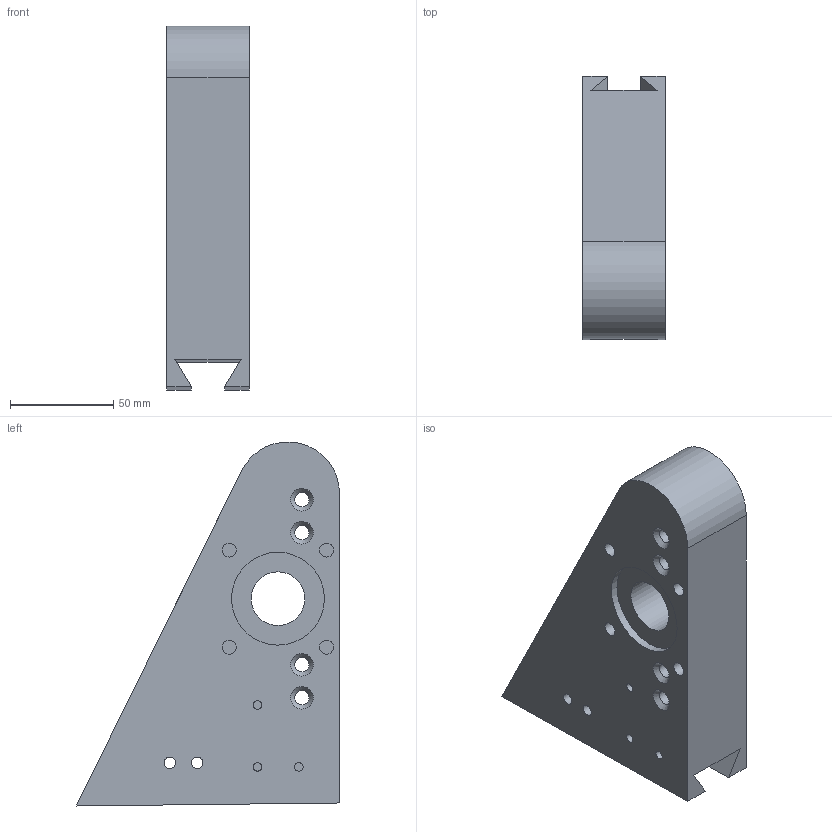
import cadquery as cq
import math

thickness = 40.0
depth = 127.5
front_height = 175.0
base_drop = 1.47
crown_radius = 25.0

dovetail_mouth = 16.0
dovetail_roof_width = 32.0
dovetail_height = 13.3

motor_y = 29.85
motor_z = 99.0
bore_diameter = 26.0
recess_diameter = 45.0
recess_depth = 3.8
motor_hole_diameter = 6.8
motor_hole_spacing = 47.14
motor_hole_depth = 20.0

bolt_y = 18.25
bolt_diameter = 7.0
countersink_diameter = 11.0
countersink_depth = 2.3
bolt_pair_spacing = 80.0
bolt_pitch = 16.0

tapped_diameter = 4.2
tapped_depth = 15.0
tapped_y = 19.75
tapped_z = 17.5
tapped_leg_y = 20.0
tapped_leg_z = 30.0

rear_hole_diameter = 5.5
rear_hole_y = 69.0
rear_hole_z = 19.5
rear_hole_pitch = 13.3


def make_body():
    """Triangular plate whose sloped back runs tangent into the round crown."""
    crown_y = crown_radius
    crown_z = front_height - crown_radius
    run = depth - crown_y
    rise = crown_z + base_drop
    tangent = math.atan2(run, rise) - math.asin(crown_radius / math.hypot(run, rise))
    back_top = (
        crown_y + crown_radius * math.cos(tangent),
        crown_z + crown_radius * math.sin(tangent),
    )
    return (
        cq.Workplane("YZ")
        .moveTo(0, 0)
        .lineTo(depth, -base_drop)
        .lineTo(*back_top)
        .threePointArc((crown_y, front_height), (0, crown_z))
        .close()
        .extrude(thickness)
    )


def make_dovetail():
    """Dovetail cutter swept along the sloping base from front to rear."""
    middle = thickness / 2
    half_mouth = dovetail_mouth / 2
    half_roof = dovetail_roof_width / 2
    path = cq.Workplane("YZ").lineTo(depth, -base_drop)
    return (
        cq.Workplane("XZ")
        .polyline([
            (middle - half_mouth, 0),
            (middle + half_mouth, 0),
            (middle + half_roof, dovetail_height),
            (middle - half_roof, dovetail_height),
        ])
        .close()
        .sweep(path)
    )


def hole(y, z, diameter, hole_depth=thickness):
    """Cylinder cutter running along +X from the X = 0 side face."""
    return cq.Workplane("YZ").center(y, z).circle(diameter / 2).extrude(hole_depth)


def countersunk_hole(y, z):
    """Through bolt hole with a conical mouth on the X = 0 side face."""
    cone = cq.Solid.makeCone(
        countersink_diameter / 2,
        bolt_diameter / 2,
        countersink_depth,
        pnt=cq.Vector(0, y, z),
        dir=cq.Vector(1, 0, 0),
    )
    return hole(y, z, bolt_diameter).union(cq.Workplane(cone))


def cut_motor_seat(part):
    part = part.cut(hole(motor_y, motor_z, bore_diameter))
    part = part.cut(hole(motor_y, motor_z, recess_diameter, recess_depth))
    for side_y in (-1, 1):
        for side_z in (-1, 1):
            y = motor_y + side_y * motor_hole_spacing / 2
            z = motor_z + side_z * motor_hole_spacing / 2
            part = part.cut(hole(y, z, motor_hole_diameter, motor_hole_depth))
    return part


def cut_bolt_holes(part):
    for pair in (-1, 1):
        for member in (-1, 1):
            z = motor_z + pair * bolt_pair_spacing / 2 + member * bolt_pitch / 2
            part = part.cut(countersunk_hole(bolt_y, z))
    return part


def cut_tapped_holes(part):
    for step_y, step_z in ((0, 0), (1, 0), (1, 1)):
        y = tapped_y + step_y * tapped_leg_y
        z = tapped_z + step_z * tapped_leg_z
        part = part.cut(hole(y, z, tapped_diameter, tapped_depth))
    return part


def cut_rear_holes(part):
    for step in range(2):
        part = part.cut(hole(rear_hole_y + step * rear_hole_pitch, rear_hole_z, rear_hole_diameter))
    return part


result = make_body().cut(make_dovetail())
result = cut_motor_seat(result)
result = cut_bolt_holes(result)
result = cut_tapped_holes(result)
result = cut_rear_holes(result)